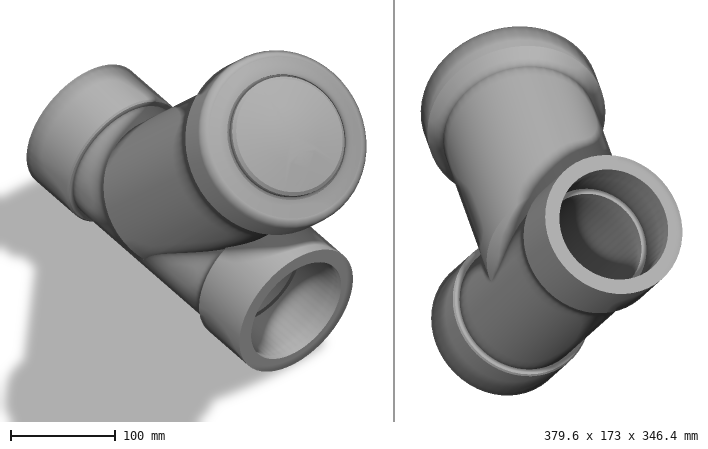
import cadquery as cq
import math

RUN_LENGTH = 324.5
RUN_DIAMETER = 126.0
BORE_DIAMETER = 100.0
SOCKET_OUTER_DIAMETER = 139.0
SOCKET_INNER_DIAMETER = 110.0
SOCKET_LENGTH = 63.0
SOCKET_DEPTH = 61.5
SHOULDER_CHAMFER = 1.5
RUN_YAW = 1.8

BRANCH_ANGLE = 50.3
BRANCH_BASE_X = -21.5
BRANCH_BASE_Z = 16.0
BRANCH_DIAMETER = 150.0
BASE_TAPER = 15.0
COLLAR_DIAMETER = 173.0
COLLAR_FILLET = 8.0
CONE_START = 213.0
CONE_END = 231.0
BRANCH_LENGTH = 271.5
END_RISE = 2.5

PLUG_DIAMETER = 116.0
PLUG_TOP_DIAMETER = 110.0
PLUG_SEAT_DEPTH = 7.5
PLUG_RIM_HEIGHT = 5.0
PLUG_CHAMFER_HEIGHT = 2.5
PLUG_DOME_HEIGHT = 6.0
LIP_DIAMETER = 122.2
LIP_DEPTH = 1.5

END_HEIGHT = BRANCH_LENGTH + END_RISE


def run_cylinder(diameter, start, length):
    """Cylinder along X that begins at the given X."""
    return cq.Workplane("YZ").workplane(offset=start).circle(diameter / 2).extrude(length)


def both_ends(diameter, length):
    """Two coaxial cylinders that reach inwards from each end of the run."""
    half_length = RUN_LENGTH / 2
    near_end = run_cylinder(diameter, -half_length, length)
    return near_end.union(run_cylinder(diameter, half_length - length, length))


def yaw(body):
    return body.rotate((0, 0, 0), (0, 0, 1), RUN_YAW)


def run_outside():
    tube = run_cylinder(RUN_DIAMETER, -RUN_LENGTH / 2, RUN_LENGTH)
    sockets = both_ends(SOCKET_OUTER_DIAMETER, SOCKET_LENGTH)
    shoulder_x = RUN_LENGTH / 2 - SOCKET_LENGTH
    shoulders = cq.selectors.BoxSelector(
        (-shoulder_x - SHOULDER_CHAMFER, -SOCKET_OUTER_DIAMETER, -SOCKET_OUTER_DIAMETER),
        (shoulder_x + SHOULDER_CHAMFER, SOCKET_OUTER_DIAMETER, SOCKET_OUTER_DIAMETER),
    )
    sockets = sockets.edges(shoulders).chamfer(SHOULDER_CHAMFER)
    return yaw(tube.union(sockets))


def run_inside():
    bore = run_cylinder(BORE_DIAMETER, -RUN_LENGTH / 2, RUN_LENGTH)
    return yaw(bore.union(both_ends(SOCKET_INNER_DIAMETER, SOCKET_DEPTH)))


def branch_plane(height=0):
    """Plane square to the branch axis, at a height above the rim of the branch base."""
    angle = math.radians(BRANCH_ANGLE)
    base = cq.Plane(
        origin=(BRANCH_BASE_X, 0, BRANCH_BASE_Z),
        xDir=(math.sin(angle), 0, -math.cos(angle)),
        normal=(math.cos(angle), 0, math.sin(angle)),
    )
    return cq.Workplane(base).workplane(offset=height)


def revolve_on_branch(profile):
    """Revolve a radius-height profile about the branch axis."""
    solid = profile.close().revolve(360, (0, 0, 0), (0, 1, 0)).val()
    upright = solid.rotate(cq.Vector(), cq.Vector(1, 0, 0), 90)
    return cq.Workplane(upright.moved(cq.Location(branch_plane().plane)))


def branch_outside():
    collar_radius = COLLAR_DIAMETER / 2
    fillet_middle = COLLAR_FILLET * (1 - math.sqrt(0.5))
    profile = (
        cq.Workplane("XY")
        .moveTo(0, -BASE_TAPER)
        .lineTo(BRANCH_DIAMETER / 2 - BASE_TAPER, -BASE_TAPER)
        .lineTo(BRANCH_DIAMETER / 2, 0)
        .lineTo(BRANCH_DIAMETER / 2, CONE_START)
        .lineTo(collar_radius, CONE_END)
        .lineTo(collar_radius, BRANCH_LENGTH - COLLAR_FILLET)
        .threePointArc(
            (collar_radius - fillet_middle, BRANCH_LENGTH - fillet_middle),
            (collar_radius - COLLAR_FILLET, BRANCH_LENGTH),
        )
        .lineTo(LIP_DIAMETER / 2, END_HEIGHT)
        .lineTo(0, END_HEIGHT)
    )
    return revolve_on_branch(profile)


def plug_recess():
    seat_plane = branch_plane(END_HEIGHT - PLUG_SEAT_DEPTH)
    seat = seat_plane.circle(PLUG_DIAMETER / 2).extrude(PLUG_SEAT_DEPTH)
    lip = branch_plane(END_HEIGHT - LIP_DEPTH).circle(LIP_DIAMETER / 2).extrude(LIP_DEPTH)
    return seat.union(lip)


def make_plug():
    """Plug with a chamfered rim and a domed top."""
    bottom = END_HEIGHT - PLUG_SEAT_DEPTH
    rim = END_HEIGHT + PLUG_RIM_HEIGHT
    dome_start = rim + PLUG_CHAMFER_HEIGHT
    dome_radius = PLUG_TOP_DIAMETER / 2
    sphere_radius = (dome_radius**2 + PLUG_DOME_HEIGHT**2) / (2 * PLUG_DOME_HEIGHT)
    dome_top = dome_start + PLUG_DOME_HEIGHT
    middle_drop = sphere_radius - math.sqrt(sphere_radius**2 - (dome_radius / 2) ** 2)
    profile = (
        cq.Workplane("XY")
        .moveTo(0, bottom)
        .lineTo(PLUG_DIAMETER / 2, bottom)
        .lineTo(PLUG_DIAMETER / 2, rim)
        .lineTo(dome_radius, dome_start)
        .threePointArc((dome_radius / 2, dome_top - middle_drop), (0, dome_top))
    )
    return revolve_on_branch(profile)


def make_housing():
    return run_outside().union(branch_outside()).cut(run_inside()).cut(plug_recess())


housing = make_housing()
plug = make_plug()

result = cq.Compound.makeCompound([housing.val(), plug.val()])